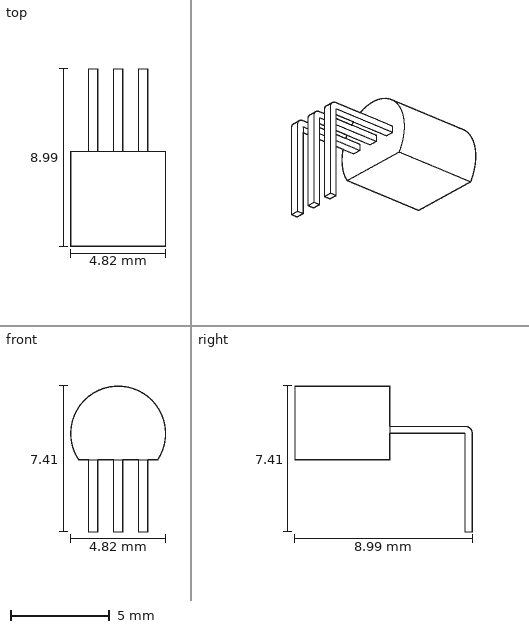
import cadquery as cq

BODY_RADIUS = 2.41
BODY_LENGTH = 4.81
BODY_HEIGHT = 3.74

LEAD_COUNT = 3
LEAD_PITCH = 1.27
LEAD_WIDTH = 0.48
RUN_THICKNESS = 0.36
DROP_THICKNESS = 0.38
LEAD_TOP_Z = 0.37
BEND_RADIUS = 0.35

TOTAL_LENGTH = 8.99
TOTAL_HEIGHT = 7.41

FLAT_Z = BODY_RADIUS - BODY_HEIGHT
LEAD_TIP_Z = BODY_RADIUS - TOTAL_HEIGHT


def make_body():
    """Cylinder centred on the Y axis from y = 0, trimmed by the flat."""
    flat_half_width = (BODY_RADIUS**2 - FLAT_Z**2) ** 0.5
    return (
        cq.Workplane("XZ")
        .moveTo(-flat_half_width, FLAT_Z)
        .threePointArc((0, BODY_RADIUS), (flat_half_width, FLAT_Z))
        .close()
        .extrude(-BODY_LENGTH)
    )


def make_lead(center_x):
    """L-shaped strip with a rounded outer corner and a sharp inner corner."""
    inner_y = TOTAL_LENGTH - DROP_THICKNESS
    lower_z = LEAD_TOP_Z - RUN_THICKNESS
    return (
        cq.Workplane("YZ", origin=(center_x, 0, 0))
        .moveTo(BODY_LENGTH, LEAD_TOP_Z)
        .lineTo(TOTAL_LENGTH - BEND_RADIUS, LEAD_TOP_Z)
        .radiusArc((TOTAL_LENGTH, LEAD_TOP_Z - BEND_RADIUS), BEND_RADIUS)
        .lineTo(TOTAL_LENGTH, LEAD_TIP_Z)
        .lineTo(inner_y, LEAD_TIP_Z)
        .lineTo(inner_y, lower_z)
        .lineTo(BODY_LENGTH, lower_z)
        .close()
        .extrude(LEAD_WIDTH / 2, both=True)
    )


result = make_body()
for index in range(LEAD_COUNT):
    lead_x = (index - (LEAD_COUNT - 1) / 2) * LEAD_PITCH
    result = result.union(make_lead(lead_x))